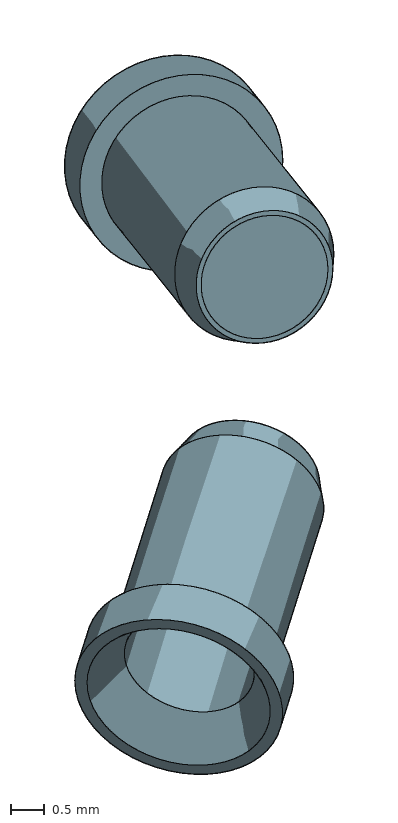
import cadquery as cq

total_length = 4.88
head_length = 0.765
tip_length = 0.508

head_diameter = 3.17
shank_diameter = 2.49
tip_diameter = 2.135

mouth_diameter = 2.795
bore_diameter = 1.98
lead_in_length = 0.725

plug_length = tip_length


def make_sleeve():
    """Headed tube with a tapered tip and a conical mouth, revolved about X."""
    profile = [
        (0, mouth_diameter / 2),
        (0, head_diameter / 2),
        (head_length, head_diameter / 2),
        (head_length, shank_diameter / 2),
        (total_length - tip_length, shank_diameter / 2),
        (total_length, tip_diameter / 2),
        (total_length, bore_diameter / 2),
        (lead_in_length, bore_diameter / 2),
    ]
    return cq.Workplane("XY").polyline(profile).close().revolve(360, (0, 0), (1, 0))


def make_plug():
    """Round plug that fills the bore flush with the end of the tip."""
    plug_start = total_length - plug_length
    return cq.Workplane("YZ").workplane(offset=plug_start).circle(bore_diameter / 2).extrude(plug_length)


sleeve = make_sleeve()
plug = make_plug()

result = cq.Compound.makeCompound([sleeve.val(), plug.val()])